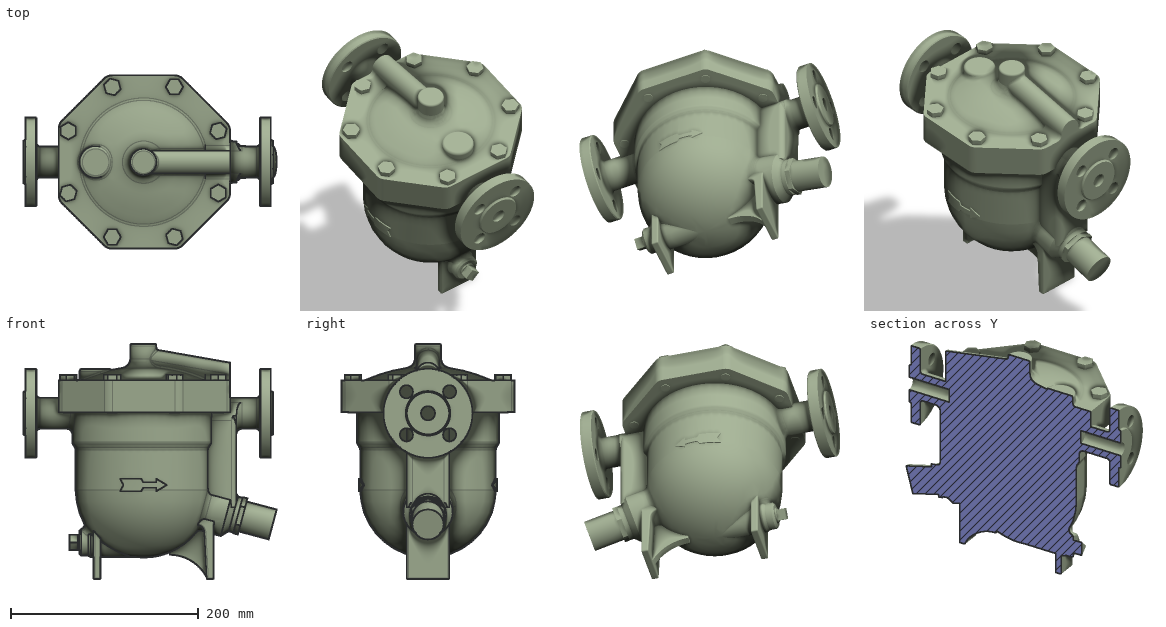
import cadquery as cq
import math


OCTAGON_WIDTH = 185.0
OCTAGON_LEFT_X = -90.3
OCTAGON_CORNER_RADIUS = 12.0
JOINT_BOTTOM_Z = 1.2
COVER_TOP_Z = 35.2
BOLT_COUNT = 8
BOLT_CIRCLE_RADIUS = 86.6
BOLT_FIRST_ANGLE = -112.5
BOLT_HEAD_FLATS = 16.0
BOLT_HEAD_HEIGHT = 5.8
BOLT_SHANK_DIAMETER = 10.0
BOLT_PROTRUSION = 0.8

UPPER_RADIUS = 76.0
LOWER_RADIUS = 72.5
SHOULDER_TOP_Z = -31.5
SHOULDER_BOTTOM_Z = -37.5
SHOULDER_FILLET = 5.0
HEMISPHERE_Z = -81.5
HEMISPHERE_BOTTOM_Z = HEMISPHERE_Z - LOWER_RADIUS

DOME_RADIUS = 160.0
DOME_APEX_Z = 50.0
DOME_EDGE_FILLET = 6.0
NECK_RADIUS = 14.0
NECK_TOP_Z = 74.1
NECK_BASE_FILLET = 10.0
NECK_TOP_FILLET = 2.0
PLUG_X = -51.1
PLUG_RADIUS = 17.0
PLUG_TOP_Z = 47.4
PLUG_TOP_FILLET = 2.8
PLUG_BASE_FILLET = 2.3
TUBE_RADIUS = 12.1
TUBE_ANGLE = 10.0
TUBE_START_Z = 58.1
WEB_FOOT_FILLET = 5.7
TUBE_FILLET = 2.5
WEB_FOOT_START_X = 66.0

FLANGE_DIAMETER = 95.0
FLANGE_THICKNESS = 12.0
FLANGE_CHAMFER = 1.0
INLET_FACE_X = -128.1
OUTLET_FACE_X = 138.3
RAISED_FACE_DIAMETER = 45.0
RAISED_FACE_HEIGHT = 2.2
RAISED_FACE_TAPER = 1.3
NOZZLE_DIAMETER = 33.4
NOZZLE_FLANGE_FILLET = 3.5
NOZZLE_BODY_FILLET = 5.0
NOZZLE_BORE_DIAMETER = 15.0
NOZZLE_BORE_DEPTH = 50.0
FLANGE_HOLE_DIAMETER = 14.0
FLANGE_HOLE_CIRCLE = 65.0
FLANGE_HOLE_COUNT = 4

PASSAGE_HALF_WIDTH = 22.5
PASSAGE_END_X = 99.3
PASSAGE_ROUND_Z = -7.4
PASSAGE_BOTTOM_Z = -100.0
PASSAGE_EDGE_FILLET = 5.7
PASSAGE_NOZZLE_FILLET = 5.5

PIPE_ANGLE = 15.0
PIPE_END_X = 138.0
PIPE_END_Z = -118.6
PIPE_RADIUS = 16.6
BOSS_ROOT = 120.0
NUT_CORNER_DIAMETER = 40.0
NUT_END = 33.2
NUT_LENGTH = 5.3
COLLAR_RADIUS = 19.3
COLLAR_START = 43.5
BOSS_RADIUS = 26.3
BOSS_FILLET = 6.0
BOSS_START = 50.5

DRAIN_Z = -137.7
DRAIN_RADIUS = 14.2
DRAIN_FACE_X = -68.3
DRAIN_CHAMFER = 2.0
DRAIN_FILLET = 5.0
DRAIN_PASSAGE_RADIUS = 15.8
DRAIN_PASSAGE_START_X = -59.0
DRAIN_CONE_LENGTH = 3.0
DRAIN_PASSAGE_END_X = 7.0
PLUG_HEAD_SQUARE = 12.0
PLUG_HEAD_RADIUS = 8.2
PLUG_HEAD_END_X = -79.0
PLUG_HEAD_COLLAR = 1.6

FOOT_BOTTOM_Z = -176.9
FOOT_HALF_WIDTH = 22.8
FOOT_EDGE_FILLET = 1.5
LEFT_FOOT_X = (-53.4, -45.6)
LEFT_FOOT_TOP_Z = -125.0
RIGHT_FOOT_X = (67.5, 75.1)
RIGHT_FOOT_TOP_Z = -111.0
OUTER_FLARE_Z = -121.0
OUTER_FLARE_TOP_X = 79.0
INNER_FLARE_START = (65.0, -127.0)
INNER_FLARE_MIDDLE = (63.0, -122.0)
INNER_FLARE_TOP = (57.5, -119.0)
GUSSET_THICKNESS = 8.0
GUSSET_ARC_RADIUS = 44.3
GUSSET_ARC_X = 28.1
GUSSET_ARC_TOP_Z = -151.0
GUSSET_TOP_Z = -110.0

ARROW_RADIUS = 73.7
ARROW_Z = -76.5
ARROW_TAIL_X = -24.8
ARROW_NOTCH_X = -21.2
ARROW_FLETCH_END_X = -2.3
ARROW_SHAFT_START_X = 0.0
ARROW_HEAD_X = 13.7
ARROW_TIP_X = 25.0
ARROW_HALF_HEIGHT = 6.7
ARROW_SHAFT_HALF_HEIGHT = 2.7


def cylinder_x(radius, x_start, x_end, z=0.0):
    """Cylinder along X between two x positions."""
    disc = cq.Workplane("YZ", origin=(x_start, 0, z)).circle(radius)
    return disc.extrude(x_end - x_start)


def block(x_range, y_half, z_range):
    """Box symmetric about the XZ plane."""
    return cq.Workplane("XY").box(
        x_range[1] - x_range[0], 2 * y_half, z_range[1] - z_range[0], centered=False
    ).translate((x_range[0], -y_half, z_range[0]))


def make_vessel():
    """Revolved body with a shoulder and a hemispherical bottom."""
    arc_mid = LOWER_RADIUS * math.sqrt(0.5)
    profile = (
        cq.Workplane("XZ")
        .moveTo(0, COVER_TOP_Z)
        .lineTo(UPPER_RADIUS, COVER_TOP_Z)
        .lineTo(UPPER_RADIUS, SHOULDER_TOP_Z)
        .lineTo(LOWER_RADIUS, SHOULDER_BOTTOM_Z)
        .lineTo(LOWER_RADIUS, HEMISPHERE_Z)
        .threePointArc((arc_mid, HEMISPHERE_Z - arc_mid), (0, HEMISPHERE_BOTTOM_Z))
        .close()
    )
    vessel = profile.revolve(360, (0, 0, 0), (0, 1, 0))
    shoulder = cq.selectors.BoxSelector(
        (-UPPER_RADIUS * 2, -UPPER_RADIUS * 2, SHOULDER_BOTTOM_Z - 1),
        (UPPER_RADIUS * 2, UPPER_RADIUS * 2, SHOULDER_TOP_Z + 1),
    )
    return vessel.edges("%CIRCLE").edges(shoulder).fillet(SHOULDER_FILLET)


def make_strainer_boss():
    """Inclined cylindrical boss rooted in the hemisphere."""
    return pipe_plane(BOSS_START).circle(BOSS_RADIUS).extrude(BOSS_START - BOSS_ROOT)


def pipe_plane(distance):
    """Workplane across the inclined pipe, at a distance back from its end, facing outward."""
    angle = math.radians(PIPE_ANGLE)
    direction = (math.cos(angle), 0, -math.sin(angle))
    origin = (
        PIPE_END_X - distance * direction[0],
        0,
        PIPE_END_Z - distance * direction[2],
    )
    return cq.Workplane(cq.Plane(origin=origin, xDir=(0, 1, 0), normal=direction))


def make_pipe_union():
    """Cone, collar, hexagonal union nut and pipe stub on the strainer boss."""
    cone = (
        pipe_plane(BOSS_START).circle(BOSS_RADIUS)
        .workplane(offset=BOSS_START - COLLAR_START).circle(COLLAR_RADIUS).loft()
    )
    collar = pipe_plane(COLLAR_START).circle(COLLAR_RADIUS).extrude(COLLAR_START - NUT_END - NUT_LENGTH)
    nut = (
        pipe_plane(NUT_END + NUT_LENGTH)
        .transformed(rotate=(0, 0, 90))
        .polygon(6, NUT_CORNER_DIAMETER)
        .extrude(NUT_LENGTH)
    )
    pipe = pipe_plane(BOSS_START).circle(PIPE_RADIUS).extrude(BOSS_START)
    return cone.union(collar).union(nut).union(pipe)


def passage_outline():
    """Cross-section of the vertical passage along X, with a rounded top."""
    half = PASSAGE_HALF_WIDTH
    return (
        cq.Workplane("YZ")
        .moveTo(-half, PASSAGE_BOTTOM_Z)
        .lineTo(-half, PASSAGE_ROUND_Z)
        .threePointArc((0, PASSAGE_ROUND_Z + half), (half, PASSAGE_ROUND_Z))
        .lineTo(half, PASSAGE_BOTTOM_Z)
        .close()
    )


def make_passage():
    """Vertical passage with rounded outer corners, ending at the foot of the union cone."""
    half = PASSAGE_HALF_WIDTH
    plan = block((0, PASSAGE_END_X), half, (PASSAGE_BOTTOM_Z, PASSAGE_ROUND_Z + half))
    plan = plan.edges("|Z and >X").fillet(PASSAGE_EDGE_FILLET)
    passage = passage_outline().extrude(PASSAGE_END_X).intersect(plan)
    beyond_cone = pipe_plane(COLLAR_START).rect(OCTAGON_WIDTH, OCTAGON_WIDTH).extrude(COLLAR_START)
    return passage.cut(beyond_cone)


def make_nozzle_flare():
    """Concave flare from the passage end onto the outlet pipe, within the passage outline."""
    pipe_radius = NOZZLE_DIAMETER / 2
    flare = PASSAGE_NOZZLE_FILLET
    dip = flare * (1 - math.sqrt(0.5))
    root_x = PASSAGE_END_X - PASSAGE_EDGE_FILLET
    ring = (
        cq.Workplane("XY")
        .moveTo(root_x, 0)
        .lineTo(root_x, pipe_radius + flare)
        .lineTo(PASSAGE_END_X, pipe_radius + flare)
        .threePointArc(
            (PASSAGE_END_X + dip, pipe_radius + dip), (PASSAGE_END_X + flare, pipe_radius)
        )
        .lineTo(PASSAGE_END_X + flare, 0)
        .close()
        .revolve(360, (0, 0, 0), (1, 0, 0))
    )
    return ring.intersect(passage_outline().extrude(PASSAGE_END_X + flare))


def make_octagon():
    """Cover plate and body flange, bolted together as one octagonal block."""
    height = COVER_TOP_Z - JOINT_BOTTOM_Z
    corner_diameter = OCTAGON_WIDTH / math.cos(math.pi / BOLT_COUNT)
    octagon = (
        cq.Workplane("XY", origin=(0, 0, JOINT_BOTTOM_Z))
        .transformed(rotate=(0, 0, 180 / BOLT_COUNT))
        .polygon(BOLT_COUNT, corner_diameter)
        .extrude(height)
    )
    trim = block((OCTAGON_LEFT_X, OCTAGON_WIDTH), OCTAGON_WIDTH, (JOINT_BOTTOM_Z, COVER_TOP_Z))
    return octagon.intersect(trim).edges("|Z").fillet(OCTAGON_CORNER_RADIUS)


def make_bolts():
    """Hexagonal bolt heads above the cover and shank ends below the flange."""
    corner_diameter = BOLT_HEAD_FLATS / math.cos(math.pi / 6)
    angle = math.radians(BOLT_FIRST_ANGLE)
    x = BOLT_CIRCLE_RADIUS * math.cos(angle)
    y = BOLT_CIRCLE_RADIUS * math.sin(angle)
    shank_bottom = JOINT_BOTTOM_Z - BOLT_PROTRUSION
    head = cq.Workplane("XY", origin=(x, y, COVER_TOP_Z)).polygon(6, corner_diameter).extrude(BOLT_HEAD_HEIGHT)
    shank = (
        cq.Workplane("XY", origin=(x, y, shank_bottom))
        .circle(BOLT_SHANK_DIAMETER / 2)
        .extrude(COVER_TOP_Z - shank_bottom)
    )
    bolt = head.union(shank)
    return [bolt.rotate((0, 0, 0), (0, 0, 1), i * 360 / BOLT_COUNT) for i in range(BOLT_COUNT)]


def make_dome():
    """Spherical cover dome with the central neck."""
    centre_z = DOME_APEX_Z - DOME_RADIUS
    cap = cq.Workplane("XY").sphere(DOME_RADIUS).translate((0, 0, centre_z))
    above_cover = block((-OCTAGON_WIDTH, OCTAGON_WIDTH), OCTAGON_WIDTH, (COVER_TOP_Z, NECK_TOP_Z))
    cap = cap.intersect(above_cover)
    neck = cq.Workplane("XY", origin=(0, 0, COVER_TOP_Z)).circle(NECK_RADIUS).extrude(NECK_TOP_Z - COVER_TOP_Z)
    dome = cap.union(neck)
    junction = cq.selectors.BoxSelector(
        (-NECK_RADIUS * 1.5, -NECK_RADIUS * 1.5, COVER_TOP_Z + 1),
        (NECK_RADIUS * 1.5, NECK_RADIUS * 1.5, DOME_APEX_Z + 1),
    )
    dome = dome.edges("%CIRCLE").edges(junction).fillet(NECK_BASE_FILLET)
    return dome.faces(">Z").edges().fillet(NECK_TOP_FILLET)


def make_plug_boss():
    """Round boss beside the neck, sunk into the dome and the cover plate."""
    boss = (
        cq.Workplane("XY", origin=(PLUG_X, 0, JOINT_BOTTOM_Z))
        .circle(PLUG_RADIUS)
        .extrude(PLUG_TOP_Z - JOINT_BOTTOM_Z)
    )
    return boss.faces(">Z").edges().fillet(PLUG_TOP_FILLET)


def make_cover_tube():
    """Tube sloping down from the neck to the cover edge, carried on a web."""
    end_x = OCTAGON_WIDTH / 2
    drop = end_x * math.tan(math.radians(TUBE_ANGLE))
    overrun = 2 * TUBE_RADIUS
    tube = (
        cq.Workplane("YZ")
        .circle(TUBE_RADIUS)
        .extrude(end_x + overrun)
        .rotate((0, 0, 0), (0, 1, 0), TUBE_ANGLE)
        .translate((0, 0, TUBE_START_Z))
    )
    tube = tube.intersect(block((0, end_x), TUBE_RADIUS, (JOINT_BOTTOM_Z, NECK_TOP_Z)))
    web = (
        cq.Workplane("XZ")
        .polyline([
            (0, JOINT_BOTTOM_Z),
            (end_x, JOINT_BOTTOM_Z),
            (end_x, TUBE_START_Z - drop),
            (0, TUBE_START_Z),
        ])
        .close()
        .extrude(TUBE_RADIUS, both=True)
    )
    return tube.union(web)


def make_web_foot():
    """Concave flare between the tube web and the flat of the cover plate."""
    inner = TUBE_RADIUS
    outer = TUBE_RADIUS + WEB_FOOT_FILLET
    top = COVER_TOP_Z + WEB_FOOT_FILLET
    bulge = WEB_FOOT_FILLET * (1 - math.sqrt(0.5))
    return (
        cq.Workplane("YZ", origin=(WEB_FOOT_START_X, 0, 0))
        .moveTo(-outer, JOINT_BOTTOM_Z)
        .lineTo(-outer, COVER_TOP_Z)
        .threePointArc((-inner - bulge, COVER_TOP_Z + bulge), (-inner, top))
        .lineTo(inner, top)
        .threePointArc((inner + bulge, COVER_TOP_Z + bulge), (outer, COVER_TOP_Z))
        .lineTo(outer, JOINT_BOTTOM_Z)
        .close()
        .extrude(OCTAGON_WIDTH / 2 - WEB_FOOT_START_X)
    )


def make_nozzle(face_x):
    """Flange, raised face and pipe reaching from face_x to the body axis."""
    front = abs(face_x) - RAISED_FACE_HEIGHT
    back = front - FLANGE_THICKNESS
    pipe_radius = NOZZLE_DIAMETER / 2
    flange_radius = FLANGE_DIAMETER / 2
    face_radius = RAISED_FACE_DIAMETER / 2
    fillet = NOZZLE_FLANGE_FILLET
    fillet_dip = fillet * (1 - math.sqrt(0.5))
    profile = (
        cq.Workplane("XY")
        .lineTo(0, pipe_radius)
        .lineTo(back - fillet, pipe_radius)
        .threePointArc((back - fillet_dip, pipe_radius + fillet_dip), (back, pipe_radius + fillet))
        .lineTo(back, flange_radius - FLANGE_CHAMFER)
        .lineTo(back + FLANGE_CHAMFER, flange_radius)
        .lineTo(front, flange_radius)
        .lineTo(front, face_radius + RAISED_FACE_TAPER)
        .lineTo(abs(face_x), face_radius)
        .lineTo(abs(face_x), 0)
        .close()
    )
    nozzle = profile.revolve(360, (0, 0, 0), (1, 0, 0))
    if face_x < 0:
        nozzle = nozzle.mirror("YZ")
    return nozzle


def make_nozzle_cuts(face_x):
    """Bore and bolt holes of one flange."""
    inward = -math.copysign(1, face_x)
    plane = cq.Workplane("YZ", origin=(face_x, 0, 0))
    bore = plane.circle(NOZZLE_BORE_DIAMETER / 2).extrude(inward * NOZZLE_BORE_DEPTH)
    holes = (
        plane.polarArray(FLANGE_HOLE_CIRCLE / 2, 45, 360, FLANGE_HOLE_COUNT)
        .circle(FLANGE_HOLE_DIAMETER / 2)
        .extrude(inward * (FLANGE_THICKNESS + RAISED_FACE_HEIGHT))
    )
    return bore.union(holes)


def make_drain_plug():
    """Square plug head with rounded-off corners on a round collar."""
    square = (
        cq.Workplane("YZ", origin=(PLUG_HEAD_END_X, 0, DRAIN_Z))
        .transformed(rotate=(0, 0, 45))
        .rect(PLUG_HEAD_SQUARE, PLUG_HEAD_SQUARE)
        .extrude(DRAIN_FACE_X - PLUG_HEAD_END_X)
    )
    head = square.intersect(cylinder_x(PLUG_HEAD_RADIUS, PLUG_HEAD_END_X, DRAIN_FACE_X, DRAIN_Z))
    collar = cylinder_x(PLUG_HEAD_RADIUS, DRAIN_FACE_X - PLUG_HEAD_COLLAR, DRAIN_FACE_X, DRAIN_Z)
    return head.union(collar)


def make_left_foot():
    """Flat foot under the drain side, running up into the hemisphere."""
    foot = block(LEFT_FOOT_X, FOOT_HALF_WIDTH, (FOOT_BOTTOM_Z, LEFT_FOOT_TOP_Z))
    return foot.edges("|Z or <Z").fillet(FOOT_EDGE_FILLET)


def make_right_foot():
    """Tapered foot under the strainer boss with a gusset to the hemisphere."""
    inner_x, outer_x = RIGHT_FOOT_X
    foot = (
        cq.Workplane("XZ")
        .moveTo(inner_x, FOOT_BOTTOM_Z)
        .lineTo(outer_x, FOOT_BOTTOM_Z)
        .lineTo(outer_x, OUTER_FLARE_Z)
        .tangentArcPoint((OUTER_FLARE_TOP_X, RIGHT_FOOT_TOP_Z), relative=False)
        .lineTo(INNER_FLARE_TOP[0], RIGHT_FOOT_TOP_Z)
        .lineTo(*INNER_FLARE_TOP)
        .threePointArc(INNER_FLARE_MIDDLE, INNER_FLARE_START)
        .close()
        .extrude(FOOT_HALF_WIDTH, both=True)
    )
    foot = foot.faces("<Y or >Y or <Z").edges("not(>Z)").fillet(FOOT_EDGE_FILLET)
    gusset = block(
        (GUSSET_ARC_X, RIGHT_FOOT_X[0]), GUSSET_THICKNESS / 2, (FOOT_BOTTOM_Z, GUSSET_TOP_Z)
    )
    arch = (
        cq.Workplane("XZ", origin=(GUSSET_ARC_X, 0, GUSSET_ARC_TOP_Z - GUSSET_ARC_RADIUS))
        .circle(GUSSET_ARC_RADIUS)
        .extrude(GUSSET_THICKNESS, both=True)
    )
    return foot.union(gusset.cut(arch))


def make_arrows():
    """Raised arrows on the -Y and +Y sides, both pointing along +X."""
    upper = [
        (ARROW_TAIL_X, ARROW_HALF_HEIGHT),
        (ARROW_FLETCH_END_X, ARROW_HALF_HEIGHT),
        (ARROW_SHAFT_START_X, ARROW_SHAFT_HALF_HEIGHT),
        (ARROW_HEAD_X, ARROW_SHAFT_HALF_HEIGHT),
        (ARROW_HEAD_X, ARROW_HALF_HEIGHT),
    ]
    lower = [(x, -z) for x, z in reversed(upper)]
    outline = upper + [(ARROW_TIP_X, 0)] + lower + [(ARROW_NOTCH_X, 0)]
    band = (
        cq.Workplane("XZ", origin=(0, 0, ARROW_Z))
        .polyline(outline)
        .close()
        .extrude(UPPER_RADIUS, both=True)
    )
    cylinder = (
        cq.Workplane("XY", origin=(0, 0, ARROW_Z - ARROW_HALF_HEIGHT))
        .circle(ARROW_RADIUS)
        .extrude(2 * ARROW_HALF_HEIGHT)
    )
    return band.intersect(cylinder)


def region(x_range, y_half, z_range):
    """Selector for edges centred in a box symmetric about the XZ plane."""
    return cq.selectors.BoxSelector(
        (x_range[0], -y_half, z_range[0]), (x_range[1], y_half, z_range[1])
    )


def make_drain():
    """Drain spigot reaching into the hemisphere, chamfered at its face."""
    drain = cylinder_x(DRAIN_RADIUS, DRAIN_FACE_X, 0, DRAIN_Z)
    return drain.faces("<X").edges().chamfer(DRAIN_CHAMFER)


def make_drain_passage():
    """Wider drain passage under the hemisphere, coned down to the spigot."""
    passage = cylinder_x(DRAIN_PASSAGE_RADIUS, DRAIN_PASSAGE_START_X, DRAIN_PASSAGE_END_X, DRAIN_Z)
    cone_rise = DRAIN_PASSAGE_RADIUS - DRAIN_RADIUS
    return passage.faces("<X").edges().chamfer(DRAIN_CONE_LENGTH, cone_rise)


def make_body():
    """Vessel with its drain, strainer boss, nozzle roots, passage, feet and arrows."""
    body = make_vessel().union(make_drain())
    drain_root = region((DRAIN_FACE_X + 2 * DRAIN_CHAMFER, -5), 30, (HEMISPHERE_BOTTOM_Z, -115))
    body = body.edges(drain_root).fillet(DRAIN_FILLET)

    body = body.union(make_strainer_boss())
    boss_root = region((20, LOWER_RADIUS), 40, (-135, -60))
    body = body.edges(boss_root).fillet(BOSS_FILLET)

    inlet_pipe = cylinder_x(NOZZLE_DIAMETER / 2, INLET_FACE_X + NOZZLE_BORE_DEPTH / 2, 0)
    body = body.union(inlet_pipe)
    inlet_root = region((-80, -60), 20, (-20, 20))
    body = body.edges(inlet_root).fillet(NOZZLE_BODY_FILLET)

    body = body.union(make_passage()).union(make_nozzle_flare()).union(make_pipe_union())
    body = body.union(make_drain_passage()).union(make_drain_plug())
    return body.union(make_left_foot()).union(make_right_foot()).union(make_arrows())


def make_cover():
    """Octagonal joint with dome, side plug boss, sloping tube and bolts."""
    cover = make_octagon().union(make_dome())
    dome_rim = region((-1, 1), 1, (COVER_TOP_Z - 0.1, COVER_TOP_Z + 0.1))
    cover = cover.edges(dome_rim).fillet(DOME_EDGE_FILLET)

    cover = cover.union(make_cover_tube().union(make_web_foot()))
    tube_root = region((10, NECK_RADIUS - 1), NECK_RADIUS, (DOME_APEX_Z - 2, 68))
    cover = cover.edges(tube_root).fillet(TUBE_FILLET)

    cover = cover.union(make_plug_boss())
    plug_root = region((-80, -30), 20, (COVER_TOP_Z - 0.5, 44))
    cover = cover.edges(plug_root).fillet(PLUG_BASE_FILLET)

    for bolt in make_bolts():
        cover = cover.union(bolt)
    return cover


result = make_body().union(make_cover())
for face_x in (INLET_FACE_X, OUTLET_FACE_X):
    result = result.union(make_nozzle(face_x)).cut(make_nozzle_cuts(face_x))